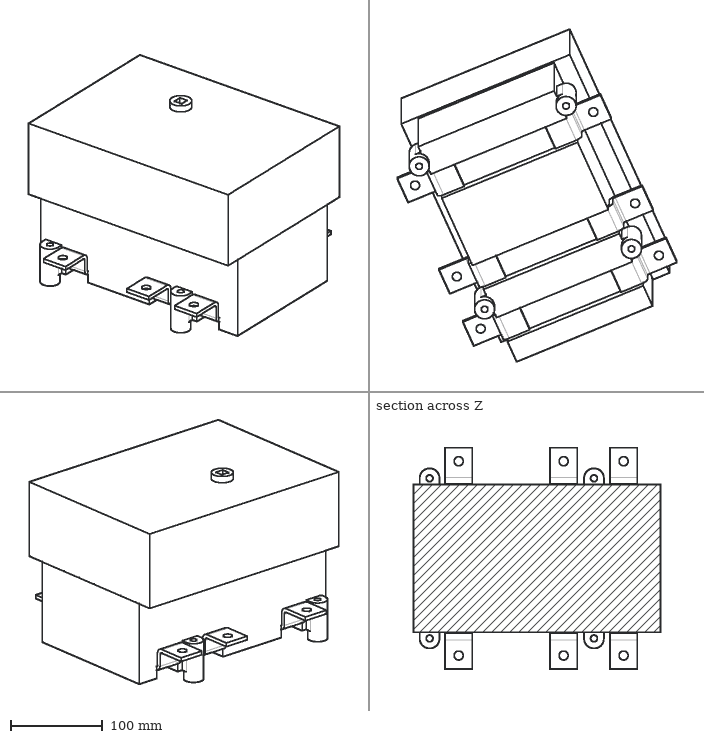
import cadquery as cq


OVERALL_DEPTH = 242.0
OVERALL_HEIGHT = 202.0

BASE_WIDTH = 270.2
BASE_DEPTH = 161.7
BASE_BOTTOM = 11.0

COVER_WIDTH = 274.0
COVER_DEPTH = 200.5
COVER_HEIGHT = 87.7
COVER_BOTTOM = 106.9
COVER_TOP = COVER_BOTTOM + COVER_HEIGHT

KNOB_DIAMETER = 24.0
KNOB_X = -28.2
KNOB_Y = 31.2
KNOB_HEIGHT = OVERALL_HEIGHT - COVER_TOP
SOCKET_SIDE = 10.0

TERMINAL_WIDTH = 30.1
TERMINAL_THICKNESS = 4.5
TERMINAL_INNER_RADIUS = 2.7
TERMINAL_OUTER_RADIUS = TERMINAL_INNER_RADIUS + TERMINAL_THICKNESS
TERMINAL_TIP_Y = OVERALL_DEPTH / 2
TERMINAL_BOTTOM = 20.3
TERMINAL_TOP = 47.7
TERMINAL_LEG_GAP = 0.8
TERMINAL_FOOT_LENGTH = 27.5
TERMINAL_HOLE_DIAMETER = 10.0
TERMINAL_HOLE_DEPTH = 3.8
TERMINAL_HOLE_Y = 106.0
POLE_PITCH = 65.5
MIDDLE_POLE_X = 29.0
FIRST_POLE_X = -85.5
LAST_POLE_X = MIDDLE_POLE_X + POLE_PITCH
POLES_X = (FIRST_POLE_X, MIDDLE_POLE_X, LAST_POLE_X)

POST_DIAMETER = 22.0
POST_HOLE_DIAMETER = 7.0
POST_TOP = 45.8
POST_Y = 87.5
FIRST_POST_X = -117.3
SECOND_POST_X = 62.2
POSTS_X = (FIRST_POST_X, SECOND_POST_X)

SIDES = (-1, 1)


def make_terminal(pole_x, side):
    """Z-shaped bent strip with a blind hole in its flange; side is the sign of Y it faces."""
    leg_back = BASE_DEPTH / 2 + TERMINAL_LEG_GAP
    leg_front = leg_back + TERMINAL_THICKNESS
    foot_end = leg_back - TERMINAL_FOOT_LENGTH
    foot_top = TERMINAL_BOTTOM + TERMINAL_THICKNESS
    flange_bottom = TERMINAL_TOP - TERMINAL_THICKNESS

    strip = (
        cq.Workplane("YZ")
        .moveTo(foot_end, TERMINAL_BOTTOM)
        .lineTo(leg_front - TERMINAL_OUTER_RADIUS, TERMINAL_BOTTOM)
        .radiusArc((leg_front, TERMINAL_BOTTOM + TERMINAL_OUTER_RADIUS), -TERMINAL_OUTER_RADIUS)
        .lineTo(leg_front, flange_bottom - TERMINAL_INNER_RADIUS)
        .radiusArc((leg_front + TERMINAL_INNER_RADIUS, flange_bottom), TERMINAL_INNER_RADIUS)
        .lineTo(TERMINAL_TIP_Y, flange_bottom)
        .lineTo(TERMINAL_TIP_Y, TERMINAL_TOP)
        .lineTo(leg_back + TERMINAL_OUTER_RADIUS, TERMINAL_TOP)
        .radiusArc((leg_back, TERMINAL_TOP - TERMINAL_OUTER_RADIUS), -TERMINAL_OUTER_RADIUS)
        .lineTo(leg_back, foot_top + TERMINAL_INNER_RADIUS)
        .radiusArc((leg_back - TERMINAL_INNER_RADIUS, foot_top), TERMINAL_INNER_RADIUS)
        .lineTo(foot_end, foot_top)
        .close()
        .extrude(TERMINAL_WIDTH / 2, both=True)
    )
    hole = (
        cq.Workplane("XY", origin=(0, TERMINAL_HOLE_Y, TERMINAL_TOP))
        .circle(TERMINAL_HOLE_DIAMETER / 2)
        .extrude(-TERMINAL_HOLE_DEPTH)
    )
    terminal = strip.cut(hole)
    if side < 0:
        terminal = terminal.mirror("XZ")
    return terminal.translate((pole_x, 0, 0))


def make_post(post_x, side):
    """Round post joined to the base face by a web as wide as the post."""
    post = (
        cq.Workplane("XY", origin=(post_x, side * POST_Y, 0))
        .circle(POST_DIAMETER / 2)
        .extrude(POST_TOP)
    )
    web_length = POST_Y - BASE_DEPTH / 2
    web = cq.Workplane("XY", origin=(post_x, side * (POST_Y - web_length / 2), BASE_BOTTOM)).box(
        POST_DIAMETER, web_length, POST_TOP - BASE_BOTTOM, centered=(True, True, False)
    )
    return post.union(web)


def make_post_hole(post_x, side):
    """Screw hole down the full height of a post."""
    return (
        cq.Workplane("XY", origin=(post_x, side * POST_Y, 0))
        .circle(POST_HOLE_DIAMETER / 2)
        .extrude(POST_TOP)
    )


def make_slot(pole_x):
    """Slot under the base from front to back, its roof resting on the terminal feet."""
    roof = TERMINAL_BOTTOM + TERMINAL_THICKNESS
    return cq.Workplane("XY", origin=(pole_x, 0, BASE_BOTTOM)).box(
        TERMINAL_WIDTH, BASE_DEPTH, roof - BASE_BOTTOM, centered=(True, True, False)
    )


def make_base(terminals):
    """Block with four posts, three slots and recesses that fit the terminal bends."""
    base = cq.Workplane("XY", origin=(0, 0, BASE_BOTTOM)).box(
        BASE_WIDTH, BASE_DEPTH, COVER_BOTTOM - BASE_BOTTOM, centered=(True, True, False)
    )
    for post_x in POSTS_X:
        for side in SIDES:
            base = base.union(make_post(post_x, side)).cut(make_post_hole(post_x, side))
    for pole_x in POLES_X:
        base = base.cut(make_slot(pole_x))
    for terminal in terminals:
        base = base.cut(terminal)
    return base


def make_cover():
    """Box with a round knob whose square socket reaches down to the cover's top face."""
    box = cq.Workplane("XY", origin=(0, 0, COVER_BOTTOM)).box(
        COVER_WIDTH, COVER_DEPTH, COVER_HEIGHT, centered=(True, True, False)
    )
    knob = (
        cq.Workplane("XY", origin=(KNOB_X, KNOB_Y, COVER_TOP))
        .circle(KNOB_DIAMETER / 2)
        .rect(SOCKET_SIDE, SOCKET_SIDE)
        .extrude(KNOB_HEIGHT)
    )
    return box.union(knob)


terminals = [make_terminal(pole_x, side) for pole_x in POLES_X for side in SIDES]
base = make_base(terminals)
cover = make_cover()

result = cq.Compound.makeCompound(
    [base.val(), cover.val(), *[terminal.val() for terminal in terminals]]
)